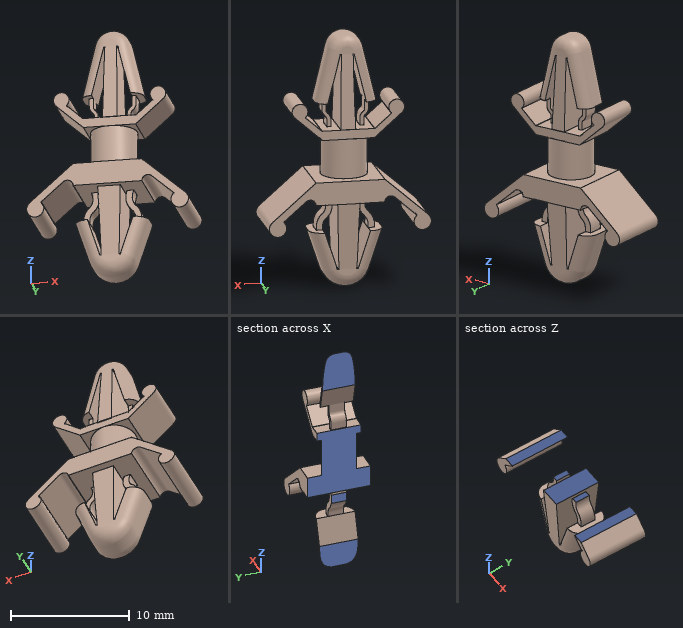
import cadquery as cq
import math

OVERALL_LENGTH = 22.2
OVERALL_WIDTH = 14.0
OVERLAP = 0.22

POST_DIAMETER = 4.0
POST_HEIGHT = 3.46

UPPER_PLATE_THICKNESS = 0.82
UPPER_PLATE_HALF_WIDTH = 2.26
UPPER_PLATE_DEPTH = POST_DIAMETER
UPPER_ARM_ANGLE = 41.4
UPPER_ARM_THICKNESS = 0.6
UPPER_BEAD_RADIUS = 0.69
UPPER_BEAD_X = 4.17

LOWER_PLATE_THICKNESS = 2.0
LOWER_PLATE_HALF_WIDTH = 2.97
LOWER_PLATE_DEPTH = 5.7
LOWER_ARM_ANGLE = 41.0
LOWER_ARM_THICKNESS = 0.67
LOWER_BEAD_RADIUS = 0.75
LOWER_BEAD_X = OVERALL_WIDTH / 2 - LOWER_BEAD_RADIUS

UPPER_BASE = POST_HEIGHT + UPPER_PLATE_THICKNESS
UPPER_TIP = 12.45
LOWER_BASE = LOWER_PLATE_THICKNESS
LOWER_TIP = OVERALL_LENGTH - UPPER_TIP
LEG_DEPTH = 1.4


def clip_arm(start_x, start_z, angle, thickness, bead_x, bead_radius, depth):
    """Rising arm on +X with a round bead; its underside is tangent to the bead."""
    along = cq.Vector(math.cos(math.radians(angle)), math.sin(math.radians(angle)))
    normal = cq.Vector(-along.y, along.x)
    start = cq.Vector(start_x, start_z)
    length = (bead_x - start_x - bead_radius * normal.x) / along.x
    tangent_point = start + along * length
    bead_centre = tangent_point + normal * bead_radius
    root = start + cq.Vector(0, thickness / along.x)
    outline = [start, tangent_point, tangent_point + normal * thickness, root]
    arm = cq.Workplane("XZ").polyline([(point.x, point.y) for point in outline]).close()
    bead = cq.Workplane("XZ").center(bead_centre.x, bead_centre.y).circle(bead_radius)
    return arm.extrude(depth / 2, both=True).union(bead.extrude(depth / 2, both=True))


def with_mirror(body):
    return body.union(body.mirror("YZ"))


def slab(half_width, depth, bottom, thickness):
    return cq.Workplane("XY").workplane(offset=bottom).rect(2 * half_width, depth).extrude(thickness)


def upper_clip():
    plate = slab(UPPER_PLATE_HALF_WIDTH, UPPER_PLATE_DEPTH, POST_HEIGHT, UPPER_PLATE_THICKNESS)
    arm = clip_arm(
        UPPER_PLATE_HALF_WIDTH, POST_HEIGHT, UPPER_ARM_ANGLE, UPPER_ARM_THICKNESS,
        UPPER_BEAD_X, UPPER_BEAD_RADIUS, UPPER_PLATE_DEPTH,
    )
    return plate.union(with_mirror(arm))


def root_fillet():
    """Web between lower plate and arm, hollowed by an arc tangent to plate side and arm."""
    angle = math.radians(LOWER_ARM_ANGLE)
    side = LOWER_PLATE_HALF_WIDTH
    radius = (LOWER_PLATE_THICKNESS * math.cos(angle) - LOWER_ARM_THICKNESS) / (1 + math.sin(angle))
    centre_x = side + radius
    centre_z = LOWER_PLATE_THICKNESS
    arm_touch = (centre_x + radius * math.sin(angle), centre_z - radius * math.cos(angle))
    web = (
        cq.Workplane("XZ")
        .moveTo(side, centre_z)
        .threePointArc((centre_x, centre_z - radius), arm_touch)
        .lineTo(side, LOWER_ARM_THICKNESS / math.cos(angle))
        .close()
    )
    return web.extrude(LOWER_PLATE_DEPTH / 2, both=True)


def lower_clip():
    """Lower clip, modelled with its arms rising and then turned over."""
    plate = slab(LOWER_PLATE_HALF_WIDTH, LOWER_PLATE_DEPTH, 0, LOWER_PLATE_THICKNESS)
    arm = clip_arm(
        LOWER_PLATE_HALF_WIDTH, 0, LOWER_ARM_ANGLE, LOWER_ARM_THICKNESS,
        LOWER_BEAD_X, LOWER_BEAD_RADIUS, LOWER_PLATE_DEPTH,
    )
    return plate.union(with_mirror(arm.union(root_fillet())))


def barb_head(
    tip, nose_radius, foot_x, foot_z, half_depth, edge_radius, slot_top, slot_half_top, slot_half_foot
):
    """Rounded arrowhead whose two arms are parted by a tapering slot."""
    nose_z = tip - nose_radius
    foot_distance = math.hypot(foot_x, foot_z - nose_z)
    touch = math.atan2(foot_z - nose_z, foot_x) + math.acos(nose_radius / foot_distance)
    touch_x = nose_radius * math.cos(touch)
    touch_z = nose_z + nose_radius * math.sin(touch)
    head = (
        cq.Workplane("XZ")
        .moveTo(foot_x, foot_z)
        .lineTo(touch_x, touch_z)
        .threePointArc((0, tip), (-touch_x, touch_z))
        .lineTo(-foot_x, foot_z)
        .close()
        .extrude(half_depth, both=True)
    )
    head = head.faces("<Y or >Y").edges("not <Z").fillet(edge_radius)
    slot = (
        cq.Workplane("XZ")
        .polyline([
            (slot_half_foot, foot_z), (slot_half_top, slot_top),
            (-slot_half_top, slot_top), (-slot_half_foot, foot_z),
        ])
        .close()
        .extrude(2 * half_depth, both=True)
    )
    return head.cut(slot)


def blade(base, top, base_half_width, base_half_depth, top_half_width, top_half_depth):
    """Central blade tapering from the plate to the roof of the barb's slot."""
    return (
        cq.Workplane("XY")
        .workplane(offset=base)
        .rect(2 * base_half_width, 2 * base_half_depth)
        .workplane(offset=top - base)
        .rect(2 * top_half_width, 2 * top_half_depth)
        .loft()
    )


def leg_path(foot_z, outer_x, inner_x, bend_top, bend_bottom):
    """Leg centre line: straight down out of the barb arm, then an S-bend towards the middle."""
    bend_middle = ((outer_x + inner_x) / 2, (bend_top + bend_bottom) / 2)
    return (
        cq.Workplane("XZ")
        .moveTo(outer_x, foot_z + OVERLAP)
        .lineTo(outer_x, bend_top)
        .tangentArcPoint(bend_middle, relative=False)
        .tangentArcPoint((inner_x, bend_bottom), relative=False)
    )


def sprung_legs(path, thickness):
    """Mirrored pair of thin strips following a leg centre line."""
    start = path.val().startPoint()
    section = cq.Workplane("XY", origin=start.toTuple()).rect(thickness, LEG_DEPTH)
    return with_mirror(section.sweep(path))


def upper_barb():
    foot_x, foot_z = 2.66, 6.48
    half_depth = 1.49
    slot_top = 10.77
    slot_half_foot = 1.66
    head = barb_head(
        tip=UPPER_TIP, nose_radius=1.55, foot_x=foot_x, foot_z=foot_z,
        half_depth=half_depth, edge_radius=1.0,
        slot_top=slot_top, slot_half_top=0.6, slot_half_foot=slot_half_foot,
    )
    centre = blade(
        base=UPPER_BASE, top=slot_top, base_half_width=0.65, base_half_depth=1.93,
        top_half_width=0.5, top_half_depth=half_depth,
    )

    thickness = 0.35
    outer_x = slot_half_foot + thickness / 2
    inner_x = 1.42
    path = leg_path(foot_z, outer_x, inner_x, bend_top=5.75, bend_bottom=4.9)
    path = path.lineTo(inner_x, UPPER_BASE - OVERLAP).wire()
    return head.union(centre).union(sprung_legs(path, thickness))


def lower_barb():
    """Lower barb, modelled pointing up and then turned over."""
    foot_x, foot_z = 3.2, 4.75
    half_depth = 1.75
    slot_top = 8.01
    slot_half_foot = 1.95
    head = barb_head(
        tip=LOWER_TIP, nose_radius=2.1, foot_x=foot_x, foot_z=foot_z,
        half_depth=half_depth, edge_radius=1.13,
        slot_top=slot_top, slot_half_top=0.89, slot_half_foot=slot_half_foot,
    )
    centre = blade(
        base=LOWER_BASE, top=slot_top, base_half_width=0.98, base_half_depth=2.22,
        top_half_width=0.78, top_half_depth=half_depth,
    )

    thickness = 0.55
    outer_x = slot_half_foot + thickness / 2
    inner_x = 1.42
    root_x = 1.65
    path = leg_path(foot_z, outer_x, inner_x, bend_top=4.42, bend_bottom=2.65)
    path = path.tangentArcPoint((root_x, LOWER_BASE - OVERLAP), relative=False).wire()
    return head.union(centre).union(sprung_legs(path, thickness))


post = cq.Workplane("XY").circle(POST_DIAMETER / 2).extrude(POST_HEIGHT)
upper_end = upper_clip().union(upper_barb())
lower_end = lower_clip().union(lower_barb()).rotate((0, 0, 0), (1, 0, 0), 180)
result = post.union(upper_end).union(lower_end)